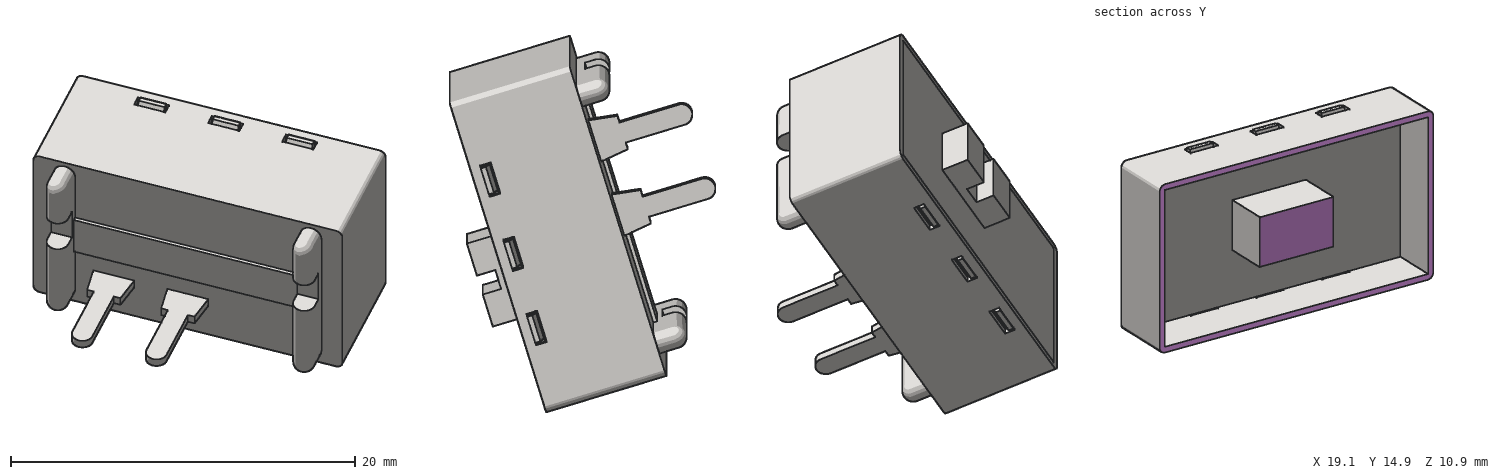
import cadquery as cq


length = 19.13
depth = 7.3
height = 10.78
corner_radius = 0.42
wall = 0.4
cavity_length = length - 2 * wall
cavity_height = height - 2 * wall

leg_width = 1.3
leg_radius = leg_width / 2
leg_height = 10.2
leg_length = 1.8
leg_spacing = 15.24
leg_notch_height = 2.03
leg_notch_center_z = 1.15
leg_notch_floor = 0.53

rib_height = 2.5
rib_length = 0.23

pitch = 4.58
terminal_xs = (-pitch, 0)
window_xs = (-pitch, 0, pitch)

terminal_thickness = 0.53
terminal_z = -2.85
terminal_root_width = 2.54
terminal_shoulder_width = 2.06
terminal_shoulder_length = 1.68
terminal_blade_width = 1.24
terminal_length = 5.89

window_width = 1.93
window_depth = 0.64
window_setback = 0.61

plate_thickness = 1.15
tab_width = 1.6
tab_flat = 0.31
tab_projection = 0.06
block_width = 5.13
knob_width = block_width
knob_height = 3.2
knob_length = 1.67
knob_center_x = 1.84
knob_slot_width = 1.16
knob_slot_depth = 1.12


def block(width, tall, y_start, y_end, x=0.0, z=0.0):
    """Rectangular block centred on x and z that runs from y_start to y_end."""
    return (
        cq.Workplane("XY")
        .box(width, y_end - y_start, tall)
        .translate((x, (y_start + y_end) / 2, z))
    )


def make_leg(x):
    """Leg with rounded ends and a rounded crest, cut by a square notch."""
    straight_length = leg_length - leg_radius
    crest_height = leg_height - 2 * leg_radius
    stem = (
        cq.Workplane("XZ")
        .slot2D(leg_height, leg_width, 90)
        .extrude(straight_length)
    )
    crest = (
        cq.Workplane("XY", origin=(0, -straight_length, -crest_height / 2))
        .circle(leg_radius)
        .extrude(crest_height)
    )
    leg = stem.union(crest)
    for end_z in (-crest_height / 2, crest_height / 2):
        end_ball = cq.Workplane("XY").sphere(leg_radius).translate((0, -straight_length, end_z))
        leg = leg.union(end_ball)
    notch = block(2 * leg_width, leg_notch_height, -2 * leg_length, -leg_notch_floor, z=leg_notch_center_z)
    return leg.cut(notch).translate((x, 0, 0))


def make_terminal(x):
    """Flat terminal: a tapered root, square shoulders and a blade with a round tip."""
    root = terminal_root_width / 2
    shoulder = terminal_shoulder_width / 2
    blade = terminal_blade_width / 2
    tip_start = -(terminal_length - blade)
    return (
        cq.Workplane("XY", origin=(x, 0, terminal_z - terminal_thickness / 2))
        .moveTo(-root, 0)
        .lineTo(-shoulder, -terminal_shoulder_length)
        .lineTo(-blade, -terminal_shoulder_length)
        .lineTo(-blade, tip_start)
        .threePointArc((0, -terminal_length), (blade, tip_start))
        .lineTo(blade, -terminal_shoulder_length)
        .lineTo(shoulder, -terminal_shoulder_length)
        .lineTo(root, 0)
        .close()
        .extrude(terminal_thickness)
    )


def make_housing():
    """Shell open at +Y, with snap windows, legs, rib and terminals."""
    shell = block(length, height, 0, depth).edges("|Y").fillet(corner_radius)
    shell = shell.cut(block(cavity_length, cavity_height, wall, depth))
    window_end = depth - window_setback
    for x in window_xs:
        shell = shell.cut(block(window_width, 2 * height, window_end - window_depth, window_end, x=x))
    shell = shell.union(block(leg_spacing, rib_height, -rib_length, 0))
    for x in (-leg_spacing / 2, leg_spacing / 2):
        shell = shell.union(make_leg(x))
    for x in terminal_xs:
        shell = shell.union(make_terminal(x))
    return shell


def make_tab(x):
    """Snap tab on the plate's top edge, ramped towards the inner face of the plate."""
    base_z = cavity_height / 2
    top_z = height / 2 + tab_projection
    catch_y = depth - window_setback
    return (
        cq.Workplane("YZ", origin=(x - tab_width / 2, 0, 0))
        .moveTo(catch_y, base_z)
        .lineTo(catch_y, top_z)
        .lineTo(catch_y - tab_flat, top_z)
        .lineTo(depth - plate_thickness, base_z)
        .close()
        .extrude(tab_width)
    )


def make_actuator():
    """Plate filling the open end, with snap tabs, a central inner block and the knob."""
    plate_start = depth - plate_thickness
    knob_end = depth + knob_length
    actuator = block(cavity_length, cavity_height, plate_start, depth)
    actuator = actuator.union(block(block_width, knob_height, wall, plate_start))
    actuator = actuator.union(block(knob_width, knob_height, depth, knob_end, x=knob_center_x))
    actuator = actuator.cut(
        block(knob_slot_width, knob_height, knob_end - knob_slot_depth, knob_end, x=knob_center_x)
    )
    for x in window_xs:
        tab = make_tab(x)
        actuator = actuator.union(tab).union(tab.mirror("XY"))
    return actuator


housing = make_housing()
actuator = make_actuator()

result = cq.Compound.makeCompound([housing.val(), actuator.val()])